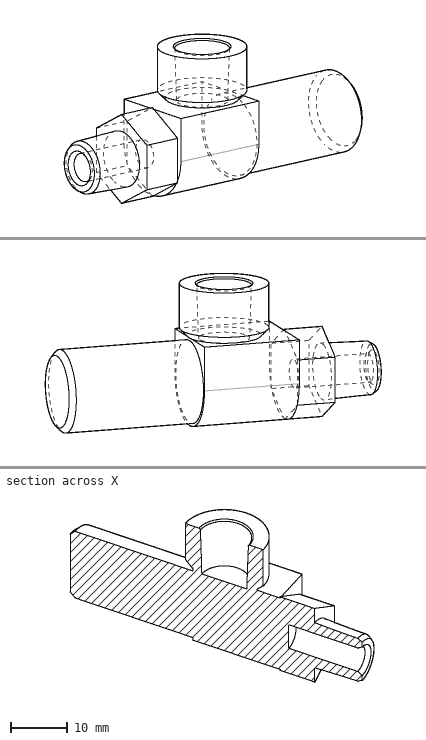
import cadquery as cq
import math

overall_height = 25.76
thread_taper = 1 / 16


body_width = 16.1
body_top = 8.0
body_front = -11.4
body_back = 6.5

rear_diameter = 15.0
rear_length = 25.0
rear_chamfer = 1.0

hex_across_flats = 14.3
hex_length = 7.1
hex_corner_radius = hex_across_flats / math.sqrt(3)

male_length = 9.7
male_base_diameter = 10.2
male_chamfer_length = 0.9
male_chamfer_depth = 0.55

inlet_diameter = 5.14
inlet_mouth_diameter = 6.3
inlet_countersink_depth = 0.9
inlet_depth = 15.0

port_diameter = 16.0
port_top = overall_height - hex_corner_radius
port_cylinder_height = 8.1
port_neck_height = port_top - port_cylinder_height - body_top
port_mouth_diameter = 10.3
port_bore_diameter = 9.75
port_mouth_depth = 0.3
port_bore_depth = 10.0

hex_front = body_front - hex_length
male_front = hex_front - male_length


def revolved_on_run(profile):
    """Revolve (radius, y) points about the Y axis."""
    return cq.Workplane("XY").polyline(profile).close().revolve(360, (0, 0), (0, 1))


def revolved_on_port(profile):
    """Revolve (radius, z) points about the Z axis."""
    return cq.Workplane("XZ").polyline(profile).close().revolve(360, (0, 0), (0, 1))


def make_body():
    half_width = body_width / 2
    return (
        cq.Workplane("XZ", origin=(0, body_back, 0))
        .moveTo(-half_width, body_top)
        .lineTo(-half_width, 0)
        .threePointArc((0, -half_width), (half_width, 0))
        .lineTo(half_width, body_top)
        .close()
        .extrude(body_back - body_front)
    )


def make_rear_cylinder():
    return (
        cq.Workplane("XZ", origin=(0, body_back, 0))
        .circle(rear_diameter / 2)
        .extrude(-rear_length)
        .faces(">Y")
        .chamfer(rear_chamfer)
    )


def make_hexagon():
    return (
        cq.Workplane("XZ", origin=(0, body_front, 0))
        .transformed(rotate=(0, 0, 90))
        .polygon(6, 2 * hex_corner_radius)
        .extrude(hex_length)
    )


def make_male_end():
    base_radius = male_base_diameter / 2
    chamfer_start = male_front + male_chamfer_length
    tip_radius = base_radius - (hex_front - chamfer_start) * thread_taper / 2
    return revolved_on_run([
        (0, hex_front),
        (base_radius, hex_front),
        (tip_radius, chamfer_start),
        (tip_radius - male_chamfer_depth, male_front),
        (0, male_front),
    ])


def make_inlet_bore():
    bore_radius = inlet_diameter / 2
    return revolved_on_run([
        (0, male_front),
        (inlet_mouth_diameter / 2, male_front),
        (bore_radius, male_front + inlet_countersink_depth),
        (bore_radius, male_front + inlet_depth),
        (0, male_front + inlet_depth),
    ])


def make_port():
    port_radius = port_diameter / 2
    return revolved_on_port([
        (0, body_top),
        (port_radius - port_neck_height, body_top),
        (port_radius, body_top + port_neck_height),
        (port_radius, port_top),
        (0, port_top),
    ])


def make_port_bore():
    bore_radius = port_bore_diameter / 2
    floor_radius = bore_radius - (port_bore_depth - port_mouth_depth) * thread_taper / 2
    return revolved_on_port([
        (0, port_top),
        (port_mouth_diameter / 2, port_top),
        (bore_radius, port_top - port_mouth_depth),
        (floor_radius, port_top - port_bore_depth),
        (0, port_top - port_bore_depth),
    ])


result = (
    make_body()
    .union(make_rear_cylinder())
    .union(make_hexagon())
    .union(make_male_end())
    .union(make_port())
    .cut(make_inlet_bore())
    .cut(make_port_bore())
)